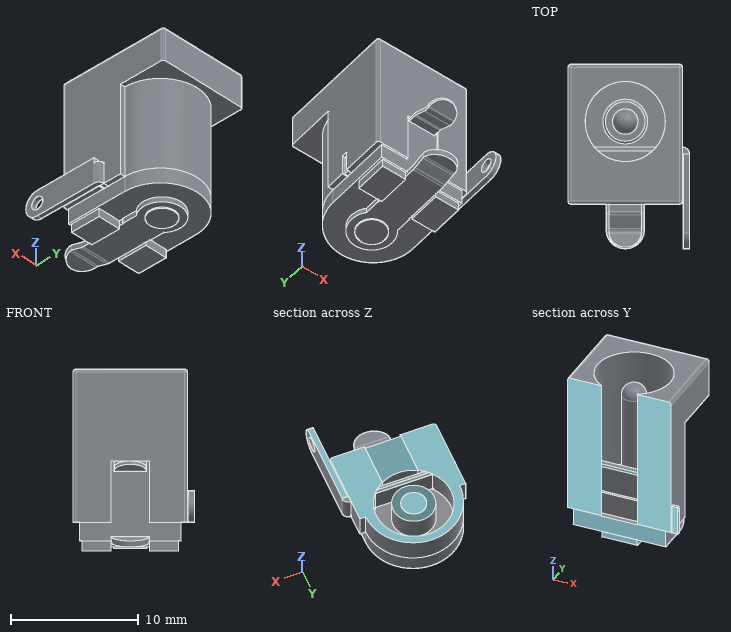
import cadquery as cq
import math


width = 9.0
depth = 11.0
height = 12.05
bore_diameter = 6.3
bore_radius = bore_diameter / 2
half_width = width / 2
back_y = half_width
front_y = back_y - depth
head_height = 3.29
edge_radius = 0.25

barrel_radius = 4.0
barrel_center_y = -0.19

base_thickness = 1.45
base_inset = 0.15
base_front_y = front_y + base_inset
riser_width = 3.0
riser_height = 4.83
foot_height = 0.8
foot_length = 3.02
foot_outer_x = 3.8
foot_inner_x = riser_width / 2
foot_front_y = base_front_y + base_inset

pin_radius = 1.0
pin_tip_depth = 1.0
rivet_radius = 1.33
rivet_height = 0.12
collar_radius = 1.75
collar_height = 2.9
collar_chamfer = 0.2

tab_reach = 3.5
tip_y = front_y - tab_reach
first_bend_y = -7.22

pin_terminal_thickness = 0.5
pin_terminal_peak_y = -8.5
pin_terminal_rise = 0.36
pin_terminal_bend = 0.4
pin_terminal_disc_radius = 2.03
neck_width = 3.1
neck_end_y = -2.8
pin_terminal_top = -base_thickness
pin_terminal_bottom = pin_terminal_top - pin_terminal_thickness

spring_thickness = 0.29
spring_width = 2.52
spring_valley_y = -8.58
spring_dip = 0.58
spring_bend = 0.4
spring_tip_y = tip_y + 0.13
leaf_top_y = -2.32

switch_thickness = 0.51
lug_gap = 0.05
switch_back_y = -2.0
switch_front_y = switch_back_y - switch_thickness
leg_top = 2.03
leg_bottom = 0.12
leg_recess = 0.25
lug_height = 2.5
lug_hole_diameter = 1.2


def block(x_range, y_range, z_range):
    """Box between the given limits."""
    (x0, x1), (y0, y1), (z0, z1) = x_range, y_range, z_range
    return cq.Workplane("XY").box(x1 - x0, y1 - y0, z1 - z0, centered=False).translate((x0, y0, z0))


def cylinder(radius, z_bottom, z_top):
    """Cylinder on the Z axis."""
    return cq.Workplane("XY").workplane(offset=z_bottom).circle(radius).extrude(z_top - z_bottom)


def barrel_outline(front, z_bottom, z_top):
    """Block with a straight front and a half-round back."""
    return (
        cq.Workplane("XY")
        .workplane(offset=z_bottom)
        .moveTo(-barrel_radius, front)
        .lineTo(-barrel_radius, barrel_center_y)
        .threePointArc((0, barrel_center_y + barrel_radius), (barrel_radius, barrel_center_y))
        .lineTo(barrel_radius, front)
        .close()
        .extrude(z_top - z_bottom)
    )


def bent_tab(top_points, thickness, tab_width, inner_radius):
    """Strip whose top follows three straight runs in YZ, with rounded bends and a half-round tip."""
    angles = [
        math.atan2(z1 - z0, y0 - y1)
        for (y0, z0), (y1, z1) in zip(top_points, top_points[1:])
    ]
    tilts = [angles[0]]
    stretches = [1.0]
    for before, after in zip(angles, angles[1:]):
        tilts.append((before + after) / 2)
        stretches.append(1 / math.cos((after - before) / 2))
    tilts.append(angles[-1])
    stretches.append(1.0)
    bottom_points = [
        (y - thickness * s * math.sin(t), z - thickness * s * math.cos(t))
        for (y, z), t, s in zip(top_points, tilts, stretches)
    ]
    tab = (
        cq.Workplane("YZ")
        .polyline(top_points + bottom_points[::-1])
        .close()
        .extrude(tab_width / 2, both=True)
    )

    for i in range(1, len(top_points) - 1):
        turns_up = angles[i] > angles[i - 1]
        inner, outer = top_points[i], bottom_points[i]
        if not turns_up:
            inner, outer = outer, inner
        for (y, z), radius in ((inner, inner_radius), (outer, inner_radius + thickness)):
            tab = tab.edges(cq.selectors.NearestToPointSelector((0, y, z))).fillet(radius)

    slope = angles[-1]
    y_end, z_end = top_points[-1]
    trim_size = 2 * abs(tip_y)
    end_plane = cq.Plane(
        origin=(0, y_end, z_end),
        xDir=(1, 0, 0),
        normal=(0, math.sin(slope), math.cos(slope)),
    )
    tip_radius = tab_width / 2
    trim = (
        cq.Workplane(end_plane)
        .moveTo(-tip_radius, trim_size)
        .lineTo(-tip_radius, tip_radius)
        .threePointArc((0, 0), (tip_radius, tip_radius))
        .lineTo(tip_radius, trim_size)
        .close()
        .extrude(trim_size, both=True)
    )
    return tab.intersect(trim)


def make_housing():
    body = block((-half_width, half_width), (front_y, back_y), (0, height))
    body = body.edges("|Z or >Z").fillet(edge_radius)
    behind = block((-width, width), (barrel_center_y, depth), (0, height - head_height))
    body = body.cut(behind.cut(barrel_outline(front_y, 0, height)))

    bore = cylinder(bore_radius, 0, height)
    riser_slot = block((-riser_width / 2, riser_width / 2), (front_y, 0), (0, riser_height))
    leg_slot = block((-half_width, half_width), (switch_front_y, switch_back_y), (0, leg_top))
    return body.cut(bore).cut(riser_slot).cut(leg_slot)


def make_base():
    plate = barrel_outline(base_front_y, -base_thickness, 0)

    half_riser = riser_width / 2
    riser = block((-half_riser, half_riser), (base_front_y, switch_front_y), (0, riser_height))
    channel = block(
        (-spring_width / 2, spring_width / 2),
        (front_y, 0),
        (riser_height - spring_thickness, riser_height),
    )
    body = plate.union(riser.cut(cylinder(bore_radius, 0, riser_height)).cut(channel))

    for x_range in ((-foot_outer_x, -foot_inner_x), (foot_inner_x, foot_outer_x)):
        foot = block(
            x_range,
            (foot_front_y, foot_front_y + foot_length),
            (-base_thickness - foot_height, -base_thickness),
        )
        body = body.union(foot)
    return body.cut(cylinder(pin_radius, -base_thickness, 0))


def make_collar():
    collar = cylinder(collar_radius, 0, collar_height).faces(">Z").chamfer(collar_chamfer)
    return collar.cut(cylinder(pin_radius, 0, collar_height))


def make_pin():
    dome_z = height - pin_tip_depth - pin_radius
    shank = cylinder(pin_radius, pin_terminal_bottom, dome_z)
    dome = cq.Workplane("XY").sphere(pin_radius).translate((0, 0, dome_z))
    rivet = cylinder(rivet_radius, pin_terminal_bottom - rivet_height, pin_terminal_bottom)
    return shank.union(dome).union(rivet)


def make_pin_terminal():
    peak = pin_terminal_top + pin_terminal_rise
    top_points = [
        (neck_end_y, pin_terminal_top),
        (first_bend_y, pin_terminal_top),
        (pin_terminal_peak_y, peak),
        (tip_y, pin_terminal_top),
    ]
    tab = bent_tab(top_points, pin_terminal_thickness, riser_width, pin_terminal_bend)
    disc = cylinder(pin_terminal_disc_radius, pin_terminal_bottom, pin_terminal_top)
    neck = block(
        (-neck_width / 2, neck_width / 2),
        (neck_end_y, 0),
        (pin_terminal_bottom, pin_terminal_top),
    )
    hole = cylinder(pin_radius, pin_terminal_bottom, pin_terminal_top)
    return disc.union(neck).union(tab).cut(hole)


def make_spring():
    top_points = [
        (-bore_radius, riser_height),
        (first_bend_y, riser_height),
        (spring_valley_y, riser_height - spring_dip),
        (spring_tip_y, riser_height),
    ]
    tab = bent_tab(top_points, spring_thickness, spring_width, spring_bend)

    underside = riser_height - spring_thickness
    leaf = (
        cq.Workplane("YZ")
        .moveTo(-bore_radius, riser_height)
        .lineTo(leaf_top_y, riser_height)
        .lineTo(switch_back_y, leg_top)
        .lineTo(switch_back_y - spring_thickness, leg_top)
        .lineTo(leaf_top_y - spring_thickness, underside)
        .lineTo(-bore_radius, underside)
        .close()
        .extrude(bore_radius, both=True)
        .intersect(cylinder(bore_radius, 0, height))
    )
    tongue = block(
        (-spring_width / 2, spring_width / 2),
        (-bore_radius, leaf_top_y - spring_thickness),
        (underside, riser_height),
    )
    return tab.union(tongue).union(leaf)


def make_switch_terminal():
    inner_x = half_width + lug_gap
    outer_x = inner_x + switch_thickness
    bend_y = switch_front_y - lug_gap

    leg_and_bend = (
        cq.Workplane("XY")
        .moveTo(-half_width + leg_recess, switch_back_y)
        .lineTo(half_width, switch_back_y)
        .radiusArc((outer_x, bend_y), lug_gap + switch_thickness)
        .lineTo(inner_x, bend_y)
        .radiusArc((half_width, switch_front_y), -lug_gap)
        .lineTo(-half_width + leg_recess, switch_front_y)
        .close()
        .extrude(leg_top)
    )
    undercut = block(
        (-half_width, half_width),
        (switch_front_y, switch_back_y),
        (0, leg_bottom),
    )
    leg_and_bend = leg_and_bend.cut(undercut)

    lug_radius = lug_height / 2
    lug_center_y = tip_y + lug_radius
    lug = block((inner_x, outer_x), (lug_center_y, bend_y), (0, lug_height))
    lug_plane = cq.Workplane("YZ").workplane(offset=inner_x).center(lug_center_y, lug_radius)
    lug = lug.union(lug_plane.circle(lug_radius).extrude(switch_thickness))
    lug = lug.cut(lug_plane.circle(lug_hole_diameter / 2).extrude(switch_thickness))
    return leg_and_bend.union(lug)


bodies = [
    make_housing(),
    make_base(),
    make_collar(),
    make_pin(),
    make_pin_terminal(),
    make_spring(),
    make_switch_terminal(),
]

result = cq.Compound.makeCompound([body.solids().val() for body in bodies])